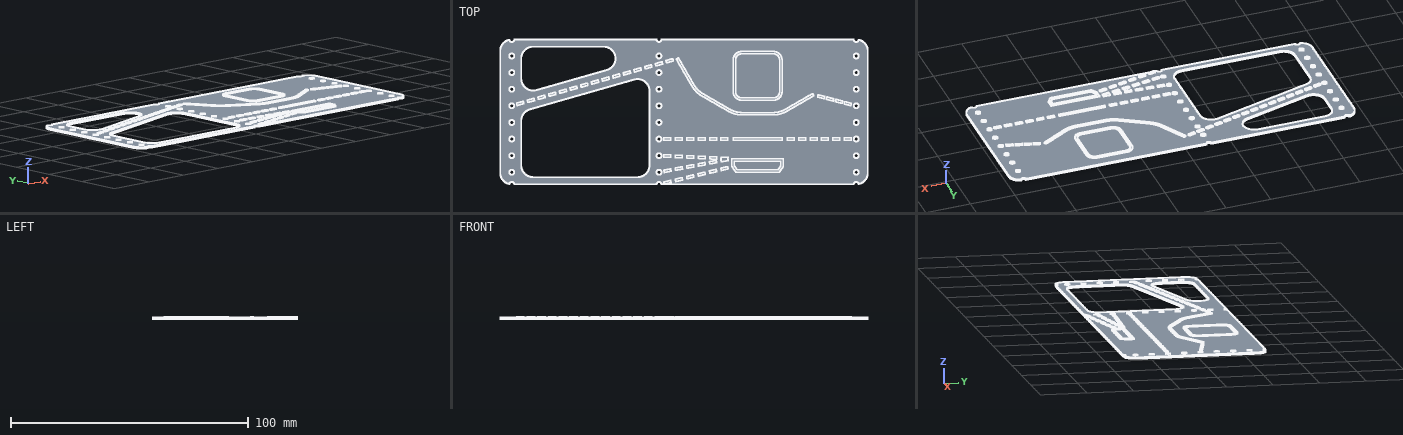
import cadquery as cq
import math

plate_length = 155.0
plate_width = 61.0
plate_thickness = 0.7
total_height = 1.0
corner_radius = 5.0

hole_diameter = 2.0
columns = (-72.5, -10.5, 72.5)
holes_per_column = 8
top_hole_y = 23.5
bottom_hole_y = -25.4
hole_pitch = (top_hole_y - bottom_hole_y) / (holes_per_column - 1)
strap_row = 3
level_row = 5
slot_rows = (6, 7)

line_width = 1.0
line_height = total_height - plate_thickness
dash_length = 3.0
first_dash_offset = 3.5
marking_dash_step = 4.8
marking_dash_count = 6
strap_dash_step = 4.5
strap_dash_count = 15
short_dash_step = 3.7
short_dash_count = 4

guide_start = (-2.8, 22.5)
guide_end = (54.4, 7.3)
guide_level_y = -0.8
steep_angle = math.radians(60)
shallow_angle = math.radians(30)
guide_bend_radius = 10.8

frame_x = (columns[1] + columns[2]) / 2
square_y = 15.2
square_size = 20.6
square_radius = 3.7
slot_frame_length = 21.7
slot_frame_top = -19.7
slot_frame_width = 5.7
slot_frame_corner_length = 1.7
slot_frame_corner_width = 2.5
slot_target_drop = 3.4

window_left = -68.5
window_right = -14.5
window_edge = 27.5
window_radius = 5.0
strap_half_width = 3.5


def hole_y(row):
    """Y of a hole, counting rows from the top starting at 0."""
    return top_hole_y - row * hole_pitch


strap_start = (columns[0], hole_y(strap_row))
strap_slope = (guide_start[1] - strap_start[1]) / (guide_start[0] - strap_start[0])
strap_rise = strap_half_width * math.hypot(1, strap_slope)


def strap_y(x):
    """Y of the strap's centre line at a given X."""
    return strap_start[1] + strap_slope * (x - strap_start[0])


def make_outline(height):
    return (
        cq.Workplane("XY")
        .rect(plate_length, plate_width)
        .extrude(height)
        .edges("|Z")
        .fillet(corner_radius)
    )


def make_window(corners):
    window = cq.Workplane("XY").polyline(corners).close().extrude(plate_thickness)
    return window.edges("|Z").fillet(window_radius)


def make_windows():
    upper_tip_x = strap_start[0] + (window_edge - strap_rise - strap_start[1]) / strap_slope
    upper = [
        (window_left, window_edge),
        (upper_tip_x, window_edge),
        (window_left, strap_y(window_left) + strap_rise),
    ]
    lower = [
        (window_left, -window_edge),
        (window_right, -window_edge),
        (window_right, strap_y(window_right) - strap_rise),
        (window_left, strap_y(window_left) - strap_rise),
    ]
    return make_window(upper).union(make_window(lower))


def make_holes():
    rows = [hole_y(row) for row in range(holes_per_column)]
    rows += [plate_width / 2, -plate_width / 2]
    centers = [(x, y) for x in columns for y in rows]
    return cq.Workplane("XY").pushPoints(centers).circle(hole_diameter / 2).extrude(total_height)


def raised():
    """Workplane on the top face of the plate."""
    return cq.Workplane("XY", origin=(0, 0, plate_thickness))


def make_dashes(start, target, step, count):
    """Row of dashes from a hole towards a target, evenly stepped along X."""
    slope = (target[1] - start[1]) / (target[0] - start[0])
    direction = math.copysign(1, target[0] - start[0])
    offsets = [direction * (first_dash_offset + i * step) for i in range(count)]
    centers = [(start[0] + dx, start[1] + slope * dx) for dx in offsets]
    angle = math.degrees(math.atan(slope))
    return (
        raised()
        .pushPoints(centers)
        .placeSketch(cq.Sketch().rect(dash_length, line_width, angle=angle))
        .extrude(line_height)
    )


def make_all_dashes():
    middle, right = columns[1], columns[2]
    slot_left = frame_x - slot_frame_length / 2
    slot_corner = (slot_left, slot_frame_top)
    slot_side = (slot_left, slot_frame_top - slot_target_drop)
    level_y = hole_y(level_row)
    rows = [
        (strap_start, guide_start, strap_dash_step, strap_dash_count),
        ((right, hole_y(strap_row)), guide_end, short_dash_step, short_dash_count),
        ((middle, level_y), (frame_x, level_y), marking_dash_step, marking_dash_count),
        ((right, level_y), (frame_x, level_y), marking_dash_step, marking_dash_count),
        ((middle, hole_y(slot_rows[0])), slot_corner, marking_dash_step, marking_dash_count),
        ((middle, hole_y(slot_rows[1])), slot_corner, marking_dash_step, marking_dash_count),
        ((middle, -plate_width / 2), slot_side, marking_dash_step, marking_dash_count),
    ]
    dashes = [make_dashes(*row) for row in rows]
    joined = dashes[0]
    for row in dashes[1:]:
        joined = joined.union(row)
    return joined


def make_square_frame():
    inner_size = square_size - 2 * line_width
    center = (frame_x, square_y)
    outer = raised().center(*center).rect(square_size, square_size).extrude(line_height)
    inner = raised().center(*center).rect(inner_size, inner_size).extrude(line_height)
    outer = outer.edges("|Z").fillet(square_radius)
    return outer.cut(inner.edges("|Z").fillet(square_radius - line_width))


def make_slot_frame():
    """Frame with square upper corners and obliquely cut lower corners."""
    half_length = slot_frame_length / 2
    half_bottom = half_length - slot_frame_corner_length
    side_end_y = slot_frame_corner_width - slot_frame_width
    corners = [
        (-half_length, 0),
        (half_length, 0),
        (half_length, side_end_y),
        (half_bottom, -slot_frame_width),
        (-half_bottom, -slot_frame_width),
        (-half_length, side_end_y),
    ]
    base = raised().center(frame_x, slot_frame_top)
    outer = base.polyline(corners).close().extrude(line_height)
    inner = raised().add(outer.faces("<Z").wires()).toPending().offset2D(-line_width)
    return outer.cut(inner.extrude(line_height))


def make_level_bar():
    return raised().center(frame_x, hole_y(level_row)).rect(square_size, line_width).extrude(line_height)


def along(point, angle, distance):
    """Point at a distance from another in the given direction."""
    return (point[0] + distance * math.cos(angle), point[1] + distance * math.sin(angle))


def make_guide_line():
    """Line swept along straight stretches joined by tangent arcs."""
    right_bend_x = guide_end[0] - (guide_end[1] - guide_level_y) / math.tan(shallow_angle)
    right_bend = (right_bend_x, guide_level_y)
    left_bend = (2 * frame_x - right_bend_x, guide_level_y)
    steep, shallow = math.tan(steep_angle), math.tan(shallow_angle)
    shallow_y_at_start = left_bend[1] + shallow * (left_bend[0] - guide_start[0])
    upper_bend_dx = (guide_start[1] - shallow_y_at_start) / (steep - shallow)
    upper_bend = (guide_start[0] + upper_bend_dx, guide_start[1] - steep * upper_bend_dx)

    directions = (-steep_angle, -shallow_angle, 0, shallow_angle)
    path = cq.Workplane("XY", origin=(0, 0, plate_thickness)).moveTo(*guide_start)
    for bend, before, after in zip((upper_bend, left_bend, right_bend), directions, directions[1:]):
        tangent_length = guide_bend_radius * math.tan((after - before) / 2)
        path = path.lineTo(*along(bend, before, -tangent_length))
        path = path.tangentArcPoint(along(bend, after, tangent_length), relative=False)
    path = path.lineTo(*guide_end)

    section_plane = cq.Plane(
        origin=(*guide_start, plate_thickness),
        xDir=(math.sin(steep_angle), math.cos(steep_angle), 0),
        normal=(math.cos(steep_angle), -math.sin(steep_angle), 0),
    )
    section = cq.Workplane(section_plane).center(0, line_height / 2).rect(line_width, line_height)
    return section.sweep(path)


plate = make_outline(plate_thickness).cut(make_windows())
markings = (
    make_all_dashes()
    .union(make_square_frame())
    .union(make_slot_frame())
    .union(make_level_bar())
    .union(make_guide_line())
    .intersect(make_outline(total_height))
)
result = plate.union(markings).cut(make_holes())